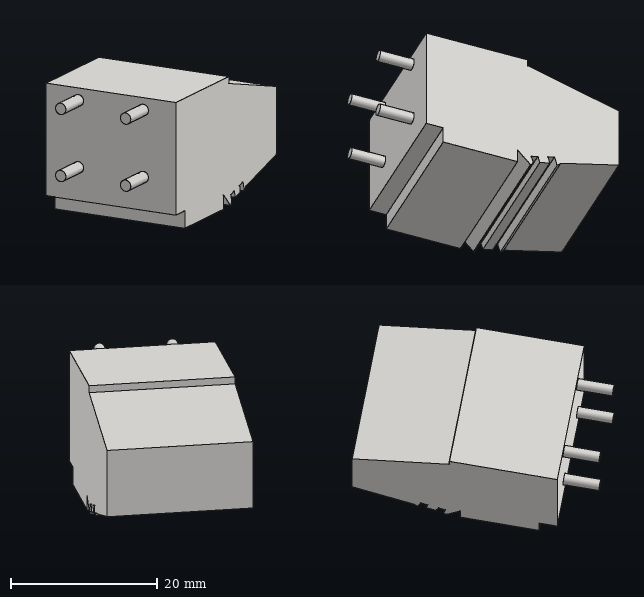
import cadquery as cq
import math

width = 20.3
height = 18.5
total_length = 33.5
pin_length = 5.0
body_length = total_length - pin_length

step_y = 15.0
step_drop = 1.0
rear_top_z = 13.75
rear_bottom_z = 4.12

foot_front_y = 2.5
foot_rear_y = 13.5
foot_height = 2.5
notch_apex_z = 2.05

slope_angle = math.radians(15.5)
grip_start = 8.95
tooth_height = 0.4
slot_start = 9.6
slot_width = 1.0
slot_depth = 1.05
slot_pitch = 2.55
last_tooth_run = 0.35
last_tooth_tip = 0.2

pin_radius = 0.8
pin_spacing_x = 10.12
pin_spacing_z = 9.5
upper_pin_z = 16.75


def slope_point(along, outward):
    """Y, Z of a point at a distance along the sloping underside and out from it."""
    y = body_length - along * math.cos(slope_angle) + outward * math.sin(slope_angle)
    z = rear_bottom_z - along * math.sin(slope_angle) - outward * math.cos(slope_angle)
    return y, z


def grip_points():
    """Two slots with a land between them and a raised tooth on each side."""
    first_slot_end = slot_start + slot_width
    second_slot_start = slot_start + slot_pitch
    second_slot_end = second_slot_start + slot_width
    last_tip = second_slot_end + last_tooth_run
    return [
        slope_point(grip_start, 0),
        slope_point(slot_start, tooth_height),
        slope_point(slot_start, -slot_depth),
        slope_point(first_slot_end, -slot_depth),
        slope_point(first_slot_end, 0),
        slope_point(second_slot_start, 0),
        slope_point(second_slot_start, -slot_depth),
        slope_point(second_slot_end, -slot_depth),
        slope_point(second_slot_end, 0),
        slope_point(last_tip, tooth_height),
        slope_point(last_tip + last_tooth_tip, tooth_height),
    ]


def make_body():
    outline = [
        (0, foot_height),
        (0, height),
        (step_y, height),
        (step_y, height - step_drop),
        (body_length, rear_top_z),
        (body_length, rear_bottom_z),
        *grip_points(),
        (foot_rear_y, notch_apex_z),
        (foot_rear_y, 0),
        (foot_front_y, 0),
        (foot_front_y, foot_height),
    ]
    return cq.Workplane("YZ").polyline(outline).close().extrude(width / 2, both=True)


def make_pins():
    lower_pin_z = upper_pin_z - pin_spacing_z
    centers = [
        (x, z)
        for x in (-pin_spacing_x / 2, pin_spacing_x / 2)
        for z in (lower_pin_z, upper_pin_z)
    ]
    return cq.Workplane("XZ").pushPoints(centers).circle(pin_radius).extrude(pin_length)


result = make_body().union(make_pins())